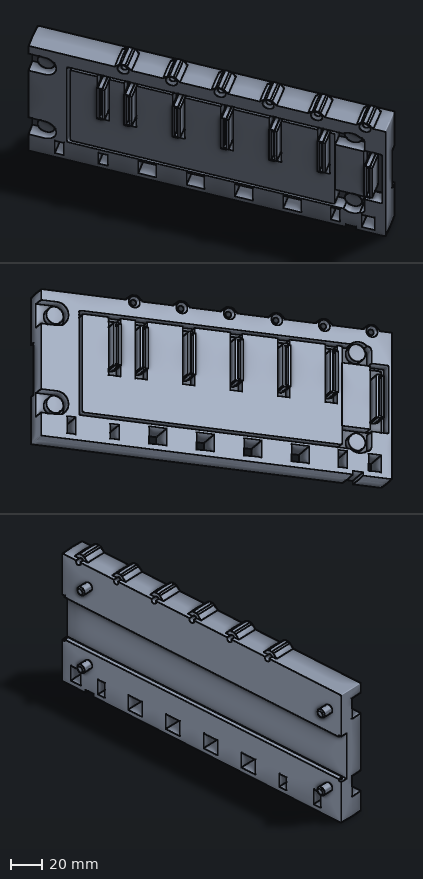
import cadquery as cq

length = 242.0
body_height = 100.2
front_depth = 8.7
back_depth = 10.2
draft_angle = 2.0
corner_radius = 1.0

pitch = 32.7
first_station = 64.4
station_count = 6
stations = [first_station + i * pitch for i in range(station_count)]

boss_top = 103.8
boss_flat_width = 3.0
boss_facet_width = 5.8
boss_facet_drop = 0.7
boss_flank_drop = 4.4
boss_back = 7.3
boss_axis_height = 99.0
boss_hole_radius = 2.0
countersink_radius = 3.9
countersink_depth = 2.0

screw_x = (11.1, 218.8)
screw_z = (24.0, 84.5)
head_radius = 5.8
head_front = -5.0
shank_radius = 3.1
shank_tip = 18.5
shank_chamfer = 1.0
recess_radius = 8.0

pocket_x = (26.4, 227.5)
pocket_z = (17.5, 88.5)
pocket_left_radius = 1.5
pocket_right_radius = 3.1
pocket_gap = 2.2
bulge_height = 2.2
insert_end = 207.5
insert_radius = 1.2
tongue_x = (insert_end, 237.2)
tongue_z = (32.7, 75.5)
tongue_gap = 1.7
tongue_end_gap = 2.2
tongue_setback = 0.7
shelf_x = 226.8
shelf_y = -1.0

slot_width = 8.2
slot_bottom = 47.2
extra_slot_left = 46.7
first_slot_left = 65.0
slot_lefts = [extra_slot_left] + [first_slot_left + i * pitch for i in range(station_count - 1)]
plug_offset = 1.5
plug_width = 5.3
plug_height = 29.3
plug_bottom = 52.3
plug_front = -13.8
plug_bevel_width = 0.7
plug_bevel_height = 0.5
plug_step_x = 3.6
plug_step_height = 0.7
socket_width = 2.0
socket_height = 26.5
socket_depth = 3.6
end_plug_x = 229.0
end_plug_bottom = 39.2

window_z = (4.0, 15.7)
wide_window = 12.0
narrow_window = 6.0
first_wide_window = 74.5
wide_window_count = 4
low_window = (47.7, 6.3)
low_window_top = 14.3
end_window = (225.5, 8.7)
narrow_window_lefts = (18.2, 204.7)
key_notch_x = (214.7, 221.7)
key_notch_top = 2.7

rail_z = (32.5, 67.8)
rail_floor = 5.0
rail_lip = 1.2
rail_lip_start = 6.8
rail_lip_inset = 2.5


def block(x_range, y_range, z_range):
    """Box spanning the given ranges."""
    size = [r[1] - r[0] for r in (x_range, y_range, z_range)]
    return cq.Workplane("XY", origin=(x_range[0], y_range[0], z_range[0])).box(*size, centered=False)


def cylinder(x, z, radius, y_range):
    """Round bar along Y."""
    plane = cq.Workplane("XZ", origin=(x, y_range[0], z))
    return plane.circle(radius).extrude(y_range[0] - y_range[1])


def drafted(face, x, z, depth_front, depth_back):
    """Extrude a sketch on y = 0 both ways, narrowing away from the parting plane."""
    plane = cq.Workplane("XZ", origin=(x, 0, z))
    front = plane.placeSketch(face).extrude(depth_front, taper=draft_angle)
    back = plane.placeSketch(face).extrude(depth_back, taper=draft_angle).mirror("XZ")
    return front.union(back)


def body():
    face = cq.Sketch().rect(length, body_height).vertices().fillet(corner_radius)
    return drafted(face, length / 2, body_height / 2, front_depth, back_depth)


def boss(x):
    """Flat-topped boss: a facet at each side, then 45 degree flanks running down into the body."""
    foot_width = boss_facet_width + 2 * boss_flank_drop
    foot_z = -boss_facet_drop - boss_flank_drop
    right_side = [
        (boss_flat_width / 2, 0),
        (boss_facet_width / 2, -boss_facet_drop),
        (foot_width / 2, foot_z),
    ]
    left_side = [(-side, z) for side, z in reversed(right_side)]
    face = cq.Sketch().polygon(right_side + left_side + right_side[:1])
    return drafted(face, x, boss_top, front_depth, boss_back)


def boss_hole(x):
    hole = cylinder(x, boss_axis_height, boss_hole_radius, (-front_depth, back_depth))
    cone = cq.Solid.makeCone(
        countersink_radius,
        boss_hole_radius,
        countersink_depth,
        cq.Vector(x, -front_depth, boss_axis_height),
        cq.Vector(0, 1, 0),
    )
    return hole.union(cq.Workplane(cone))


def left_recess(z):
    """Screw recess open to the left end."""
    x = screw_x[0]
    y_range = (-front_depth, 0)
    channel = block((0, x), y_range, (z - recess_radius, z + recess_radius))
    return channel.union(cylinder(x, z, recess_radius, y_range))


def pocket():
    y_range = (-front_depth, 0)
    main = block(pocket_x, y_range, pocket_z)
    main = main.edges("|Y and <X").fillet(pocket_left_radius)
    main = main.edges("|Y and >X").fillet(pocket_right_radius)
    side = block(
        (tongue_x[0], tongue_x[1] + tongue_end_gap),
        y_range,
        (tongue_z[0] - tongue_gap, tongue_z[1] + tongue_gap),
    )
    side = side.edges("|Y and >X").fillet(insert_radius)
    recess = main.union(side)
    bulge_inset = recess_radius - bulge_height
    for z in (pocket_z[0] + bulge_inset, pocket_z[1] - bulge_inset):
        recess = recess.union(cylinder(screw_x[1], z, recess_radius, y_range))
    return recess


def insert():
    """Connector carrier: main plate, tongue to the right and a low shelf at its end."""
    plate_top = pocket_z[1] - pocket_gap
    plate = block(
        (pocket_x[0] + pocket_gap, insert_end),
        (-front_depth, 0),
        (pocket_z[0] + pocket_gap, plate_top),
    )
    plate = plate.edges("|Y").fillet(insert_radius)
    tongue = block((insert_end - insert_radius, shelf_x), (tongue_setback - front_depth, 0), tongue_z)
    shelf = block((shelf_x, tongue_x[1]), (shelf_y, 0), tongue_z)
    shelf = shelf.edges("|Y and >X").fillet(insert_radius)
    carrier = plate.union(tongue).union(shelf)
    for left in slot_lefts:
        slot = block((left, left + slot_width), (-front_depth, shelf_y), (slot_bottom, plate_top))
        carrier = carrier.cut(slot)
    return carrier


def plug(left, bottom):
    """Connector, bevelled on the left and stepped down on the right, with a socket in its front."""
    outline = [
        (0, plug_bevel_height),
        (plug_bevel_width, 0),
        (plug_step_x, 0),
        (plug_step_x, plug_step_height),
        (plug_width, plug_step_height),
        (plug_width, plug_height - plug_step_height),
        (plug_step_x, plug_height - plug_step_height),
        (plug_step_x, plug_height),
        (plug_bevel_width, plug_height),
        (0, plug_height - plug_bevel_height),
    ]
    shell = cq.Workplane("XZ", origin=(left, 0, bottom)).polyline(outline).close().extrude(-plug_front)
    socket_right = left + plug_step_x
    socket_z = bottom + (plug_height - socket_height) / 2
    socket = block(
        (socket_right - socket_width, socket_right),
        (plug_front, plug_front + socket_depth),
        (socket_z, socket_z + socket_height),
    )
    return shell.cut(socket)


def screw(x, z):
    head = cylinder(x, z, head_radius, (head_front, 0))
    shank = cylinder(x, z, shank_radius, (0, shank_tip)).faces(">Y").chamfer(shank_chamfer)
    return head.union(shank)


def window(left, width, top=window_z[1]):
    return block((left, left + width), (-front_depth, back_depth), (window_z[0], top))


def windows():
    openings = window(*low_window, top=low_window_top).union(window(*end_window))
    for left in narrow_window_lefts:
        openings = openings.union(window(left, narrow_window))
    for i in range(wide_window_count):
        openings = openings.union(window(first_wide_window + i * pitch, wide_window))
    return openings


def rail_channel():
    """Channel along the back whose mouth is narrowed by two lips, open at both ends."""
    channel = block((0, length), (rail_floor, back_depth), rail_z)
    lip_x = (rail_lip_inset, length - rail_lip_inset)
    lip_y = (rail_lip_start, back_depth)
    lower = block(lip_x, lip_y, (rail_z[0], rail_z[0] + rail_lip))
    upper = block(lip_x, lip_y, (rail_z[1] - rail_lip, rail_z[1]))
    return channel.cut(lower).cut(upper)


result = body()
for station in stations:
    result = result.union(boss(station))
for station in stations:
    result = result.cut(boss_hole(station))

result = result.cut(windows())
result = result.cut(block(key_notch_x, (-front_depth, back_depth), (0, key_notch_top)))
result = result.cut(rail_channel())

for height in screw_z:
    result = result.cut(left_recess(height))
result = result.cut(pocket()).union(insert())

for left in slot_lefts:
    result = result.union(plug(left + plug_offset, plug_bottom))
result = result.union(plug(end_plug_x, end_plug_bottom))

for x in screw_x:
    for z in screw_z:
        result = result.union(screw(x, z))